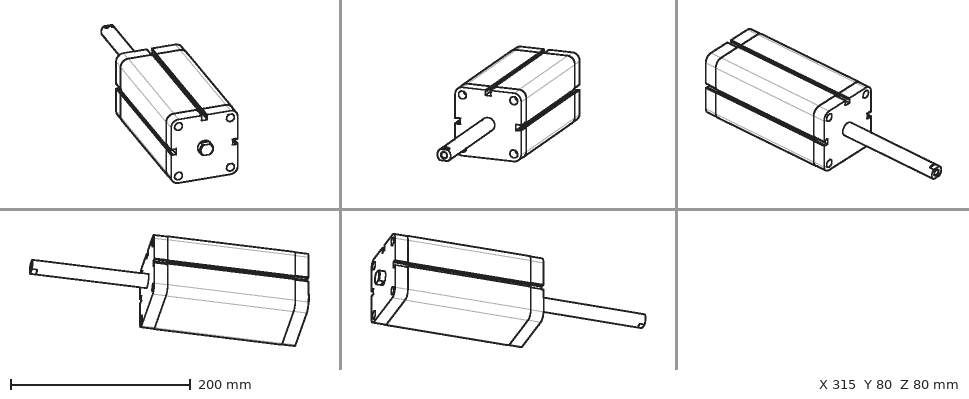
import cadquery as cq

TOTAL_LENGTH = 315.0
ROD_EXTENSION = 132.0
COVER_THICKNESS = 15.0
ROD_REAR_PROJECTION = 7.5
TUBE_START = ROD_EXTENSION + COVER_THICKNESS
REAR_COVER_END = TOTAL_LENGTH - ROD_REAR_PROJECTION
TUBE_LENGTH = REAR_COVER_END - COVER_THICKNESS - TUBE_START

TUBE_WIDTH = 80.0
COVER_WIDTH = 79.5
CORNER_CENTRE = 31.0

BOLT_HOLE_DIAMETER = 9.0

SLOT_WIDTH = 7.0
TUBE_MOUTH_WIDTH = 4.7
COVER_MOUTH_WIDTH = 6.0
SLOT_FLOOR = 33.5
SLOT_LIP_UNDERSIDE = 37.5
SLOT_ANGLES = (-90, 0, 90)

ROD_DIAMETER = 16.0
ROD_FLAT_SPACING = 13.0
FRONT_FLAT_LENGTH = 6.0
REAR_FLAT_LENGTH = 6.3
ROD_REAR_CHAMFER = 1.0
THREAD_HOLE_DIAMETER = 6.5
THREAD_HOLE_DEPTH = 19.0
THREAD_HOLE_CHAMFER = 0.5
DRILL_TIP_LENGTH = THREAD_HOLE_DIAMETER / 4


def block(start_x, length, width):
    """Square bar along X with round corners, bored for the rod and drilled for the bolts."""
    corner_radius = width / 2 - CORNER_CENTRE
    bar = (
        cq.Workplane("YZ", origin=(start_x, 0, 0))
        .rect(width, width)
        .extrude(length)
        .edges("|X")
        .fillet(corner_radius)
    )
    rod_bore = cq.Workplane("YZ", origin=(start_x, 0, 0)).circle(ROD_DIAMETER / 2).extrude(length)
    bolt_holes = (
        cq.Workplane("YZ", origin=(start_x, 0, 0))
        .rect(2 * CORNER_CENTRE, 2 * CORNER_CENTRE, forConstruction=True)
        .vertices()
        .circle(BOLT_HOLE_DIAMETER / 2)
        .extrude(length)
    )
    return bar.cut(rod_bore).cut(bolt_holes)


def groove(start_x, length, width, bottom, top):
    """Rectangular cutter along X, lying between two heights above the rod axis."""
    height = top - bottom
    bar = cq.Workplane("XY").box(length, width, height, centered=(False, True, False))
    return bar.translate((start_x, 0, bottom))


def cut_sensor_slots(body, start_x, length, mouth_width):
    """Cut a T-shaped slot along the middle of each slotted side."""
    wide_part = groove(start_x, length, SLOT_WIDTH, SLOT_FLOOR, SLOT_LIP_UNDERSIDE)
    mouth = groove(start_x, length, mouth_width, SLOT_LIP_UNDERSIDE, TUBE_WIDTH / 2)
    slot = wide_part.union(mouth)
    for angle in SLOT_ANGLES:
        body = body.cut(slot.rotate((0, 0, 0), (1, 0, 0), angle))
    return body


def make_tube():
    """Cylinder tube between the two covers."""
    tube = block(TUBE_START, TUBE_LENGTH, TUBE_WIDTH)
    return cut_sensor_slots(tube, TUBE_START, TUBE_LENGTH, TUBE_MOUTH_WIDTH)


def make_cover(start_x):
    """End cover, slightly narrower than the tube and with wider slot mouths."""
    cover = block(start_x, COVER_THICKNESS, COVER_WIDTH)
    return cut_sensor_slots(cover, start_x, COVER_THICKNESS, COVER_MOUTH_WIDTH)


def wrench_flats(start_x, length):
    """Cutters above and below the rod that leave two parallel flats."""
    cutter = groove(start_x, length, ROD_DIAMETER, ROD_FLAT_SPACING / 2, ROD_DIAMETER)
    return cutter.union(cutter.mirror("XY"))


def thread_hole():
    """Blind hole in the front end of the rod, with a countersunk mouth and a conical drill tip."""
    radius = THREAD_HOLE_DIAMETER / 2
    return (
        cq.Workplane("XY")
        .lineTo(0, radius + THREAD_HOLE_CHAMFER)
        .lineTo(THREAD_HOLE_CHAMFER, radius)
        .lineTo(THREAD_HOLE_DEPTH, radius)
        .lineTo(THREAD_HOLE_DEPTH + DRILL_TIP_LENGTH, 0)
        .close()
        .revolve(360, (0, 0, 0), (1, 0, 0))
    )


def make_rod():
    """Through rod with wrench flats at both ends."""
    rod = cq.Workplane("YZ").circle(ROD_DIAMETER / 2).extrude(TOTAL_LENGTH)
    rod = rod.faces(">X").chamfer(ROD_REAR_CHAMFER)
    rod = rod.cut(wrench_flats(0, FRONT_FLAT_LENGTH))
    rod = rod.cut(wrench_flats(TOTAL_LENGTH - REAR_FLAT_LENGTH, REAR_FLAT_LENGTH))
    return rod.cut(thread_hole())


rod = make_rod()
tube = make_tube()
covers = [make_cover(start_x) for start_x in (ROD_EXTENSION, REAR_COVER_END - COVER_THICKNESS)]

result = cq.Compound.makeCompound([rod.val(), tube.val(), *[cover.val() for cover in covers]])